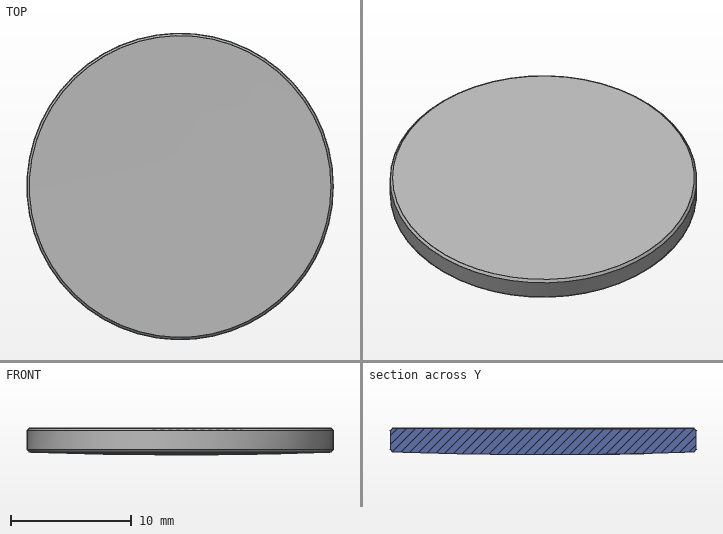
import cadquery as cq
import math

diameter = 25.4
overall_height = 2.24
bevel_width = 0.2
top_bevel_height = 0.2
bottom_bevel_height = 0.23
bottom_sag = 0.23
top_sag = 0.08

radius = diameter / 2
face_radius = radius - bevel_width
mid_radius = face_radius / 2


def depth_at_mid_radius(sag):
    """Depth below the edge of a spherical face, halfway out from the axis."""
    sphere_radius = (face_radius**2 + sag**2) / (2 * sag)
    rise_from_centre = sphere_radius - math.sqrt(sphere_radius**2 - mid_radius**2)
    return sag - rise_from_centre


half_section = (
    cq.Workplane("XZ")
    .moveTo(0, 0)
    .threePointArc(
        (mid_radius, bottom_sag - depth_at_mid_radius(bottom_sag)),
        (face_radius, bottom_sag),
    )
    .lineTo(radius, bottom_sag + bottom_bevel_height)
    .lineTo(radius, overall_height - top_bevel_height)
    .lineTo(face_radius, overall_height)
    .threePointArc(
        (mid_radius, overall_height - depth_at_mid_radius(top_sag)),
        (0, overall_height - top_sag),
    )
    .close()
)

result = half_section.revolve(360, (0, 0, 0), (0, 1, 0))